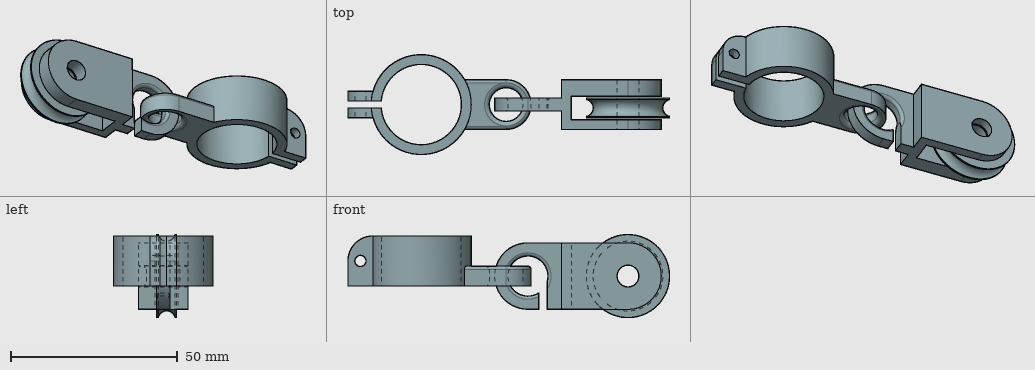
import cadquery as cq


ring_radius = 15.0
ring_wall = 3.0
clamp_height = 15.05
ear_reach = 22.0
ear_thickness = 3.0
ear_gap = 2.0
ear_corner_radius = clamp_height / 2
ear_hole_diameter = 3.3
ear_hole_inset = 3.8

tongue_width = 15.0
tongue_height = 6.0
tongue_eye_x = 25.5
tongue_eye_diameter = 10.0
tongue_edge_fillet = 1.0
tongue_eye_fillet = 1.4

pulley_diameter = 25.0
pulley_width = 6.0
rim_thickness = 0.5
groove_depth = 2.0
axle_hole_diameter = 6.5
pulley_side_gap = 0.5
total_length = 96.5
axle_x = total_length - ear_reach - pulley_diameter / 2
axle_z = tongue_height / 2

fork_height = 20.0
fork_width = tongue_width
fork_back_x = axle_x - fork_height
fork_web = 3.0
near_arm_thickness = 3.0
hook_thickness = 4.0
hook_radius = fork_height / 2
hook_reach = 10.0
hook_x = fork_back_x - hook_reach
hook_hole_radius = 6.0
hook_hole_fillet = 1.0
mouth_width = 2.5
mouth_end_offset = 5.8

slot_width = pulley_width + 2 * pulley_side_gap
slot_start_y = -fork_width / 2 + near_arm_thickness
pulley_y = slot_start_y + slot_width / 2


def box(x_min, x_max, y_min, y_max, z_min, z_max):
    """Block between the given coordinate limits."""
    size = (x_max - x_min, y_max - y_min, z_max - z_min)
    return cq.Workplane("XY").box(*size, centered=False).translate((x_min, y_min, z_min))


def cylinder_y(x, z, radius, y_center, width):
    """Cylinder along Y, centred on y_center."""
    plane = cq.Workplane("XZ", origin=(x, y_center, z))
    return plane.circle(radius).extrude(width / 2, both=True)


def make_tongue():
    """Round-ended tongue from the ring axis, with rounded top edges and eye rims."""
    half_width = tongue_width / 2
    tongue = (
        cq.Workplane("XY")
        .moveTo(0, -half_width)
        .lineTo(tongue_eye_x, -half_width)
        .threePointArc((tongue_eye_x + half_width, 0), (tongue_eye_x, half_width))
        .lineTo(0, half_width)
        .close()
        .extrude(tongue_height)
    )
    tongue = tongue.faces(">Z").edges("not <X").fillet(tongue_edge_fillet)
    eye_radius = tongue_eye_diameter / 2
    eye = cq.Workplane("XY").center(tongue_eye_x, 0).circle(eye_radius).extrude(tongue_height)
    eye_rim = cq.selectors.RadiusNthSelector(0)
    return tongue.cut(eye).faces("<Z or >Z").edges("%CIRCLE").edges(eye_rim).fillet(tongue_eye_fillet)


def make_clamp():
    """Split ring with two screw ears and an eye tongue."""
    ear_half_width = ear_gap / 2 + ear_thickness
    ears = box(-ear_reach, 0, -ear_half_width, ear_half_width, 0, clamp_height)
    ears = ears.edges("|Y and <X and >Z").fillet(ear_corner_radius)
    ear_hole = cylinder_y(
        -ear_reach + ear_hole_inset, clamp_height / 2, ear_hole_diameter / 2, 0, 2 * ear_half_width
    )
    ring = cq.Workplane("XY").circle(ring_radius).extrude(clamp_height)
    bore = cq.Workplane("XY").circle(ring_radius - ring_wall).extrude(clamp_height)
    bore = bore.rotate((0, 0, 0), (0, 0, 1), 180)
    split = box(-ear_reach, 0, -ear_gap / 2, ear_gap / 2, 0, clamp_height)
    return ring.union(ears.cut(ear_hole)).union(make_tongue()).cut(bore).cut(split)


def make_hook():
    """Flat hook with a rounded hole rim and a mouth open at the bottom."""
    bottom = axle_z - hook_radius
    top = axle_z + hook_radius
    hook = cylinder_y(hook_x, axle_z, hook_radius, 0, hook_thickness)
    shank = box(hook_x, fork_back_x, -hook_thickness / 2, hook_thickness / 2, bottom, top)
    hole = cylinder_y(hook_x, axle_z, hook_hole_radius, 0, hook_thickness)
    hook = hook.union(shank).cut(hole)
    hole_rim = cq.selectors.RadiusNthSelector(0)
    hook = hook.faces("<Y or >Y").edges("%CIRCLE").edges(hole_rim).fillet(hook_hole_fillet)
    mouth_end = hook_x + mouth_end_offset
    mouth = box(
        mouth_end - mouth_width, mouth_end, -hook_thickness / 2, hook_thickness / 2, bottom, axle_z
    )
    return hook.cut(mouth)


def make_hook_fork():
    """Round-ended fork that carries the pulley, with the hook on its back."""
    bottom = axle_z - fork_height / 2
    top = axle_z + fork_height / 2
    fork = box(fork_back_x, axle_x, -fork_width / 2, fork_width / 2, bottom, top)
    fork = fork.union(cylinder_y(axle_x, axle_z, fork_height / 2, 0, fork_width))
    slot = box(
        fork_back_x + fork_web, axle_x + fork_height, slot_start_y, slot_start_y + slot_width, bottom, top
    )
    axle_hole = cylinder_y(axle_x, axle_z, axle_hole_diameter / 2, 0, fork_width)
    return fork.cut(slot).cut(axle_hole).union(make_hook())


def make_pulley():
    """Grooved wheel, revolved about the axle; profile X is radius and Y is along the axle."""
    bore_radius = axle_hole_diameter / 2
    outer_radius = pulley_diameter / 2
    half_width = pulley_width / 2
    groove_half_width = half_width - rim_thickness
    profile = (
        cq.Workplane("XY")
        .moveTo(bore_radius, -half_width)
        .lineTo(outer_radius, -half_width)
        .lineTo(outer_radius, -groove_half_width)
        .threePointArc((outer_radius - groove_depth, 0), (outer_radius, groove_half_width))
        .lineTo(outer_radius, half_width)
        .lineTo(bore_radius, half_width)
        .close()
    )
    return profile.revolve(360, (0, 0, 0), (0, 1, 0)).translate((axle_x, pulley_y, axle_z))


clamp = make_clamp()
hook_fork = make_hook_fork()
pulley = make_pulley()

result = cq.Compound.makeCompound([clamp.val(), hook_fork.val(), pulley.val()])